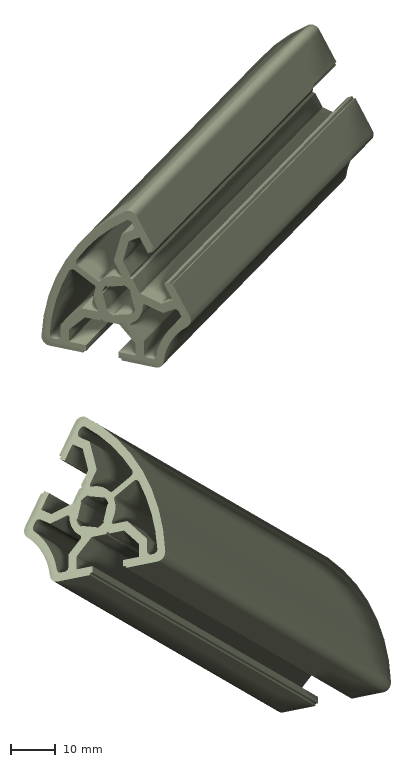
import cadquery as cq
import math

LENGTH = 100.0
OUTER_RADIUS = 45.0
INNER_RADIUS = 15.0
SECTOR_ANGLE = 60.0
FIRST_ANGLE = 180.0
SKIN = 2.0
CORNER_RADIUS = 2.0
SHELL_FILLET = 1.0
WALL_FILLET = 0.5

SLOT_OPENING = 8.0
SLOT_WIDTH = 16.3
SLOT_FLOOR_WIDTH = 8.4
SLOT_DEPTH = 9.0
SHOULDER_ANGLE = 45.0
SLOT_WALL = 2.1
REBATE_WIDTH = 0.7
REBATE_DEPTH = 0.5
NOTCH_WIDTH = 1.0
NOTCH_DEPTH = 0.5

HUB_RADIUS = 6.0
WEB_THICKNESS = 1.5
BORE_SQUARE = 7.0
BORE_CORNER_RADIUS = 4.3
BORE_CORNER_SPAN = 30.0

EDGE_TOLERANCE = 0.1

MID_RADIUS = (OUTER_RADIUS + INNER_RADIUS) / 2
MID_ANGLE = FIRST_ANGLE - SECTOR_ANGLE / 2
LAST_ANGLE = FIRST_ANGLE - SECTOR_ANGLE


def polar(radius, angle):
    """Point at an angle in degrees, measured from +X towards +Z."""
    return radius * math.cos(math.radians(angle)), radius * math.sin(math.radians(angle))


def prism(outline):
    """Extrude a closed XZ outline over the full length, towards +Y."""
    return outline.extrude(-LENGTH)


def slot_prism(half_outline):
    """Prism symmetric about the bottom slot's centre, from (half width, height) pairs."""
    right = [(-MID_RADIUS + half_width, height) for half_width, height in half_outline]
    left = [(-MID_RADIUS - half_width, height) for half_width, height in reversed(half_outline)]
    return prism(cq.Workplane("XZ").polyline(right + left).close())


def with_mirror(body):
    """Add the copy on the other side of the profile's mid plane."""
    normal_x, normal_z = polar(1.0, MID_ANGLE - 90)
    return body.union(body.mirror((normal_x, 0, normal_z)))


def sector(inner_radius, outer_radius, inset):
    """Ring sector whose two straight sides lie a given inset inside the slotted faces."""
    inner_inset = math.degrees(math.asin(inset / inner_radius))
    outer_inset = math.degrees(math.asin(inset / outer_radius))
    return prism(
        cq.Workplane("XZ")
        .moveTo(*polar(inner_radius, FIRST_ANGLE - inner_inset))
        .lineTo(*polar(outer_radius, FIRST_ANGLE - outer_inset))
        .threePointArc(
            polar(outer_radius, MID_ANGLE), polar(outer_radius, LAST_ANGLE + outer_inset)
        )
        .lineTo(*polar(inner_radius, LAST_ANGLE + inner_inset))
        .threePointArc(
            polar(inner_radius, MID_ANGLE), polar(inner_radius, FIRST_ANGLE - inner_inset)
        )
        .close()
    )


def slot_chamber(wall):
    """T-slot chamber with sloping shoulders, grown outwards by a wall thickness."""
    half_width = SLOT_WIDTH / 2 + wall
    half_floor = SLOT_FLOOR_WIDTH / 2 + wall * math.tan(math.radians(SHOULDER_ANGLE / 2))
    depth = SLOT_DEPTH + wall
    shoulder = depth - (half_width - half_floor) * math.tan(math.radians(SHOULDER_ANGLE))
    return slot_prism([(half_width, SKIN), (half_width, shoulder), (half_floor, depth)])


def slot_cut():
    """Chamber, mouth with rebated lips and centring notch in the slot floor."""
    half_mouth = SLOT_OPENING / 2
    half_rebate = half_mouth + REBATE_WIDTH
    mouth = slot_prism([
        (half_rebate, 0),
        (half_rebate, REBATE_DEPTH),
        (half_mouth, REBATE_DEPTH),
        (half_mouth, SKIN),
    ])
    notch_tip = (-MID_RADIUS, SLOT_DEPTH + NOTCH_DEPTH)
    notch = prism(
        cq.Workplane("XZ")
        .moveTo(-MID_RADIUS - NOTCH_WIDTH / 2, SLOT_DEPTH)
        .lineTo(*notch_tip)
        .lineTo(-MID_RADIUS + NOTCH_WIDTH / 2, SLOT_DEPTH)
        .close()
    )
    return slot_chamber(0).union(mouth).union(notch)


def hub():
    """Round hub around the core hole, halfway between the curved skins."""
    return prism(cq.Workplane("XZ").center(*polar(MID_RADIUS, MID_ANGLE)).circle(HUB_RADIUS))


def web():
    """Straight web along the mid plane from the hub to the outer skin."""
    length = OUTER_RADIUS - MID_RADIUS
    return (
        cq.Workplane("XY")
        .box(length, LENGTH, WEB_THICKNESS, centered=(False, False, True))
        .translate((MID_RADIUS, 0, 0))
        .rotate((0, 0, 0), (0, 1, 0), -MID_ANGLE)
    )


def bore():
    """Square core hole set diagonally to the mid plane, with a round relief at each corner."""
    half_side = BORE_SQUARE / 2
    half_span = BORE_CORNER_SPAN / 2
    step_radius = half_side / math.cos(math.radians(45 - half_span))
    center_x, center_z = polar(MID_RADIUS, MID_ANGLE)
    outline = cq.Workplane("XZ").center(center_x, center_z)
    outline = outline.moveTo(*polar(step_radius, MID_ANGLE - 90 + half_span))
    for corner in range(4):
        angle = MID_ANGLE + 90 * corner
        outline = (
            outline.lineTo(*polar(step_radius, angle - half_span))
            .lineTo(*polar(BORE_CORNER_RADIUS, angle - half_span))
            .threePointArc(
                polar(BORE_CORNER_RADIUS, angle),
                polar(BORE_CORNER_RADIUS, angle + half_span),
            )
        )
        if corner < 3:
            outline = outline.lineTo(*polar(step_radius, angle + half_span))
    return prism(outline.close())


def is_shell_corner(edge):
    """True for lengthwise cavity edges on the curved skins or behind the slotted faces."""
    center = edge.Center()
    radius = math.hypot(center.x, center.z)
    angle = math.atan2(center.z, center.x)
    height_above_bottom = center.z
    depth_below_slant = radius * math.sin(angle - math.radians(LAST_ANGLE))
    wall_distance = min(
        OUTER_RADIUS - radius, radius - INNER_RADIUS, height_above_bottom, depth_below_slant
    )
    return wall_distance < SKIN + EDGE_TOLERANCE


def is_wall_corner(edge):
    """True for the remaining cavity edges, along the slot walls, hub and web."""
    return not is_shell_corner(edge)


body = sector(INNER_RADIUS, OUTER_RADIUS, 0).edges("|Y").fillet(CORNER_RADIUS)

cavities = (
    sector(INNER_RADIUS + SKIN, OUTER_RADIUS - SKIN, SKIN)
    .cut(with_mirror(slot_chamber(SLOT_WALL)))
    .cut(hub())
    .cut(web())
)
cavities = cavities.edges("|Y").filter(is_wall_corner).fillet(WALL_FILLET)
cavities = cavities.edges("|Y").filter(is_shell_corner).fillet(SHELL_FILLET)

result = body.cut(cavities).cut(with_mirror(slot_cut())).cut(bore())